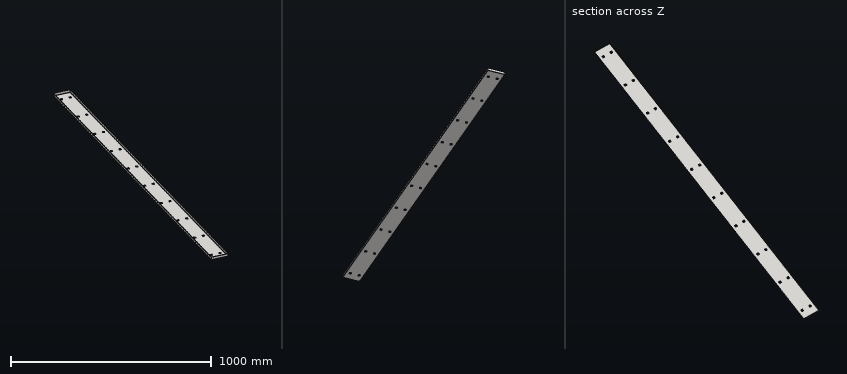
import cadquery as cq

length = 1897.0
width = 95.0
height = 16.5

sheet = 1.5
bend_radius = sheet

hole_side = 9.0
hole_count = 10
end_margin = 50.0
hole_pitch = (length - 2 * end_margin) / (hole_count - 1)
row_spacing = width / 2


def make_body():
    """Solid bar with rounded upright corners and rounded bottom edges."""
    bar = cq.Workplane("XY").box(length, width, height, centered=(True, True, False))
    bar = bar.edges("|Z").fillet(bend_radius)
    return bar.faces("<Z").edges().fillet(bend_radius)


def make_pocket():
    """Space inside the tray, open at the top and square-cornered."""
    return (
        cq.Workplane("XY")
        .workplane(offset=sheet)
        .rect(length - 2 * sheet, width - 2 * sheet)
        .extrude(height - sheet)
    )


def make_holes():
    """Square posts for the evenly spaced holes of both rows."""
    return (
        cq.Workplane("XY")
        .rarray(hole_pitch, row_spacing, hole_count, 2)
        .rect(hole_side, hole_side)
        .extrude(height)
    )


result = make_body().cut(make_pocket()).cut(make_holes())